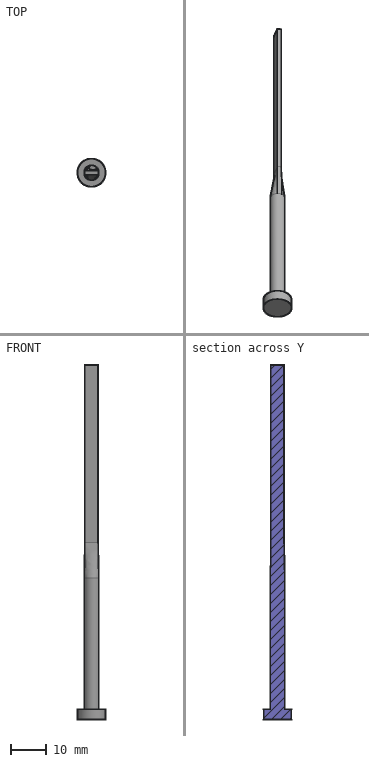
import cadquery as cq

total_length = 100.0
head_diameter = 8.0
head_height = 3.0
shank_diameter = 4.2
shank_top = 40.0
blade_start = 50.0
blade_width = 3.8
blade_thickness = 1.2


def make_cylinder(diameter, bottom, top):
    return cq.Workplane("XY").workplane(offset=bottom).circle(diameter / 2).extrude(top - bottom)


def make_transition():
    """Loft from the round shank to the rectangular blade."""
    return (
        cq.Workplane("XY")
        .workplane(offset=shank_top)
        .circle(shank_diameter / 2)
        .workplane(offset=blade_start - shank_top)
        .rect(blade_width, blade_thickness)
        .loft(ruled=True)
    )


def make_blade():
    return (
        cq.Workplane("XY")
        .workplane(offset=blade_start)
        .rect(blade_width, blade_thickness)
        .extrude(total_length - blade_start)
    )


head = make_cylinder(head_diameter, 0, head_height)
shank = make_cylinder(shank_diameter, head_height, shank_top)
result = head.union(shank).union(make_transition()).union(make_blade())